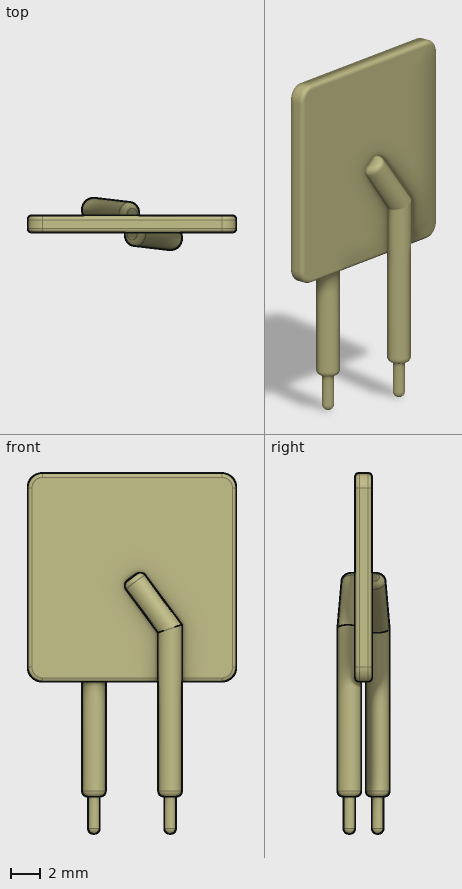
import cadquery as cq

PLATE_SIZE = 14.0
PLATE_THICKNESS = 1.15
PLATE_CORNER_RADIUS = 1.0
PLATE_EDGE_FILLET = 0.28

LEAD_PITCH_X = 5.1
LEAD_PITCH_Y = 1.9
SLEEVE_DIAMETER = 1.62
SLEEVE_FILLET = 0.4
SLEEVE_OVERHANG = 7.7
BEND_HEIGHT = 3.55
LEAD_END_OFFSET_Y = 0.65

WIRE_DIAMETER = SLEEVE_DIAMETER / 2
WIRE_LENGTH = 2.5
WIRE_TIP_FILLET = 0.4

PLATE_BOTTOM_Z = -PLATE_SIZE / 2
SLEEVE_BOTTOM_Z = PLATE_BOTTOM_Z - SLEEVE_OVERHANG
BEND_Z = PLATE_BOTTOM_Z + BEND_HEIGHT


def make_plate():
    """Square plate with rounded corners and filleted rims on both faces."""
    plate = cq.Workplane("XY").box(PLATE_SIZE, PLATE_THICKNESS, PLATE_SIZE)
    plate = plate.edges("|Y").fillet(PLATE_CORNER_RADIUS)
    return plate.faces("<Y or >Y").edges().fillet(PLATE_EDGE_FILLET)


def make_sleeve(lead_x, lead_y):
    """Sleeve that rises vertically, then bends to the middle of the plate."""
    bottom = cq.Vector(lead_x, lead_y, SLEEVE_BOTTOM_Z)
    bend = cq.Vector(lead_x, lead_y, BEND_Z)
    end = cq.Vector(0, -LEAD_END_OFFSET_Y, 0)
    path = cq.Workplane("XY").polyline([bottom.toTuple(), bend.toTuple(), end.toTuple()])
    profile = cq.Workplane("XY", origin=bottom.toTuple()).circle(SLEEVE_DIAMETER / 2)
    sleeve = profile.sweep(path, transition="right")
    end_face = cq.selectors.DirectionMinMaxSelector(end - bend, directionMax=True)
    sleeve = sleeve.faces(end_face).edges().fillet(SLEEVE_FILLET)
    return sleeve.faces("<Z").edges().fillet(SLEEVE_FILLET)


def make_wire(lead_x, lead_y):
    """Bare wire with a rounded tip, hanging below the sleeve."""
    wire = cq.Workplane("XY", origin=(lead_x, lead_y, SLEEVE_BOTTOM_Z))
    wire = wire.circle(WIRE_DIAMETER / 2).extrude(-WIRE_LENGTH)
    return wire.faces("<Z").edges().fillet(WIRE_TIP_FILLET)


def make_front_lead():
    """Lead on the -Y face of the plate."""
    lead_x = LEAD_PITCH_X / 2
    lead_y = -LEAD_PITCH_Y / 2
    return make_sleeve(lead_x, lead_y).union(make_wire(lead_x, lead_y))


front_lead = make_front_lead()
rear_lead = front_lead.rotate((0, 0, 0), (0, 0, 1), 180)
result = make_plate().union(front_lead).union(rear_lead)